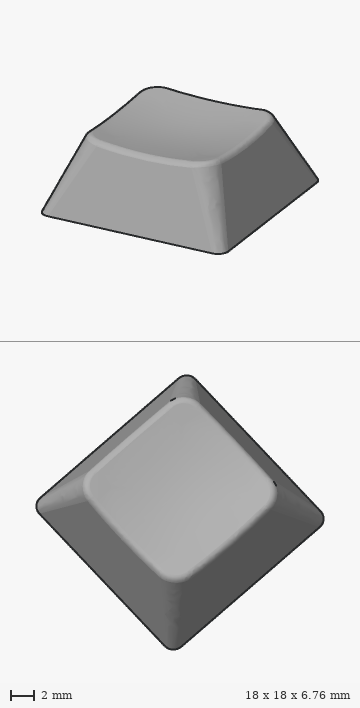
import cadquery as cq

base_width = 18.0
base_corner_radius = 1.0
blank_height = 7.0
blank_top_width = 12.5
blank_top_corner_radius = 2.0

dish_radius = 40.0
dish_bottom_height = 6.0
rim_fillet_radius = 0.6


def rounded_square(width, corner_radius):
    """Square centred on the origin with equally rounded corners."""
    return cq.Sketch().rect(width, width).vertices().fillet(corner_radius)


def tapered_blank():
    """Solid frustum between two rounded squares, widest at the base."""
    base = rounded_square(base_width, base_corner_radius)
    top = rounded_square(blank_top_width, blank_top_corner_radius)
    lift = cq.Location(cq.Vector(0, 0, blank_height))
    return cq.Workplane("XY").placeSketch(base, top.moved(lift)).loft()


def dish_cutter():
    """Sphere above the cap whose lowest point is the bottom of the dish."""
    centre_height = dish_bottom_height + dish_radius
    return cq.Workplane("XY").sphere(dish_radius).translate((0, 0, centre_height))


dished_cap = tapered_blank().cut(dish_cutter())
dish_rim = dished_cap.faces("%SPHERE").edges()
result = dish_rim.fillet(rim_fillet_radius)